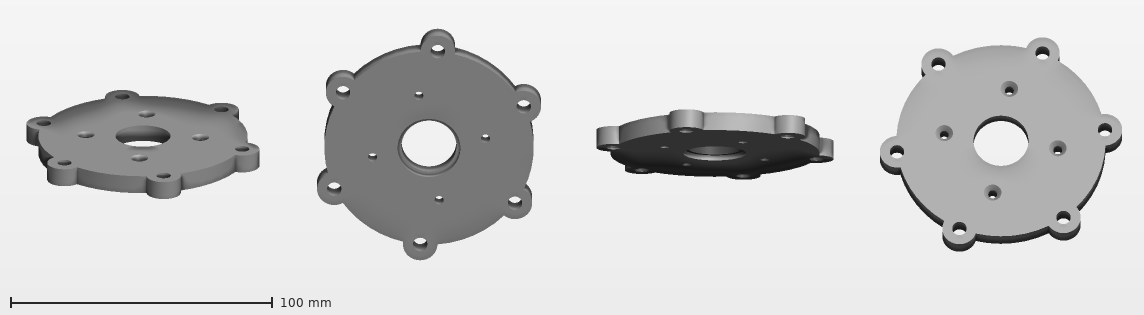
import cadquery as cq

plate_diameter = 80.0
thickness = 7.0

ear_count = 6
ear_radius = 6.58
ear_hole_diameter = 5.5
ear_circle_radius = plate_diameter / 2
first_ear_angle = 90.0
full_turn = 360.0

bore_diameter = 21.0
recess_diameter = 24.0
recess_depth = 2.0

screw_spacing = 31.0
screws_per_side = 2
screw_hole_diameter = 3.4
countersink_diameter = 6.7
countersink_angle = 90.0


def disc(diameter, height):
    """Solid disc on the Z axis, standing on the underside of the plate."""
    return cq.Workplane("XY").circle(diameter / 2).extrude(height)


def top_plane(body):
    """Work plane on the top face, centred on the Z axis."""
    return body.faces(">Z").workplane(origin=(0, 0, 0))


def at_ears(plane):
    """Ear centres, evenly spaced around the rim."""
    return plane.polarArray(ear_circle_radius, first_ear_angle, full_turn, ear_count)


def make_blank():
    ears = at_ears(cq.Workplane("XY")).circle(ear_radius).extrude(thickness)
    return disc(plate_diameter, thickness).union(ears)


def cut_ear_holes(body):
    return at_ears(top_plane(body)).hole(ear_hole_diameter)


def cut_centre_bore(body):
    bore = disc(bore_diameter, thickness)
    recess = disc(recess_diameter, recess_depth)
    return body.cut(bore).cut(recess)


def cut_screw_holes(body):
    screws = top_plane(body).rarray(screw_spacing, screw_spacing, screws_per_side, screws_per_side)
    return screws.cskHole(screw_hole_diameter, countersink_diameter, countersink_angle)


part = make_blank()
part = cut_ear_holes(part)
part = cut_centre_bore(part)
result = cut_screw_holes(part)